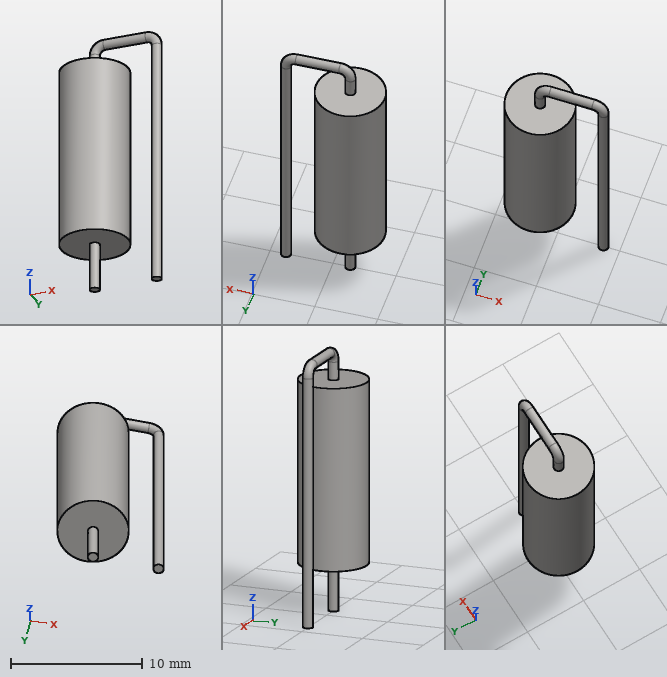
import cadquery as cq

total_height = 20.97
body_diameter = 5.45
body_length = 14.5
body_bottom = 3.82
wire_diameter = 0.8
lead_pitch = 5.1
bend_radius = 0.82

body_top = body_bottom + body_length
bridge_height = total_height - wire_diameter / 2
bend_start = bridge_height - bend_radius


def make_body():
    """Plain cylinder standing on the Z axis."""
    return cq.Workplane("XY").workplane(offset=body_bottom).circle(body_diameter / 2).extrude(body_length)


def make_straight_lead():
    """Short wire from the bottom face of the body down to the lead ends."""
    return cq.Workplane("XY").circle(wire_diameter / 2).extrude(body_bottom)


def make_bent_lead():
    """Wire that leaves the top face, crosses over and runs down beside the body."""
    path = (
        cq.Workplane("XZ")
        .moveTo(0, body_top)
        .lineTo(0, bend_start)
        .radiusArc((bend_radius, bridge_height), bend_radius)
        .lineTo(lead_pitch - bend_radius, bridge_height)
        .radiusArc((lead_pitch, bend_start), bend_radius)
        .lineTo(lead_pitch, 0)
    )
    return cq.Workplane("XY").workplane(offset=body_top).circle(wire_diameter / 2).sweep(path)


body = make_body()
straight_lead = make_straight_lead()
bent_lead = make_bent_lead()

result = cq.Compound.makeCompound([body.val(), straight_lead.val(), bent_lead.val()])